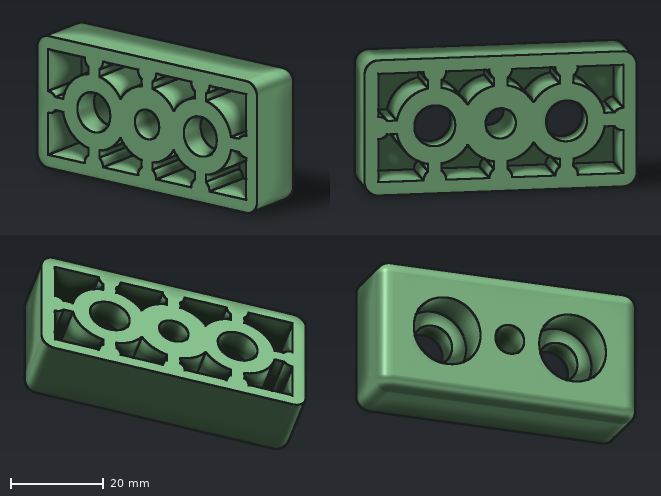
import cadquery as cq

length = 60.0
depth = 15.0
height = 30.0
edge_radius = 3.0
wall = 3.0
floor_thickness = 3.0

boss_spacing = 14.5
boss_diameter = 17.05
outer_bore_diameter = 9.0
middle_bore_diameter = 6.65
counterbore_diameter = 15.5
counterbore_depth = 9.0

rib_thickness = 3.0
pad_diameter = 5.0

pocket_depth = depth - floor_thickness
pocket_length = length - 2 * wall
pocket_height = height - 2 * wall
boss_centers = [(-boss_spacing, 0), (0, 0), (boss_spacing, 0)]
outer_centers = [boss_centers[0], boss_centers[-1]]


def front_prism(sketch, prism_depth):
    """Extrude an XZ sketch from the open face toward +Y."""
    return sketch.extrude(-prism_depth)


def make_block():
    block = front_prism(cq.Workplane("XZ").rect(length, height), depth)
    return block.edges("|Y").fillet(edge_radius).faces(">Y").edges().fillet(edge_radius)


def cylinders(centers, diameter, cylinder_depth):
    return front_prism(cq.Workplane("XZ").pushPoints(centers).circle(diameter / 2), cylinder_depth)


def make_ribs():
    ribs = front_prism(
        cq.Workplane("XZ").pushPoints(boss_centers).rect(rib_thickness, pocket_height),
        pocket_depth,
    )
    side_rib = front_prism(cq.Workplane("XZ").rect(pocket_length, rib_thickness), pocket_depth)
    return ribs.union(side_rib)


def make_pads():
    """Round pads centred on the inner wall faces at the rib ends."""
    centers = [(x, side * pocket_height / 2) for x, _ in boss_centers for side in (-1, 1)]
    centers += [(side * pocket_length / 2, 0) for side in (-1, 1)]
    return cylinders(centers, pad_diameter, pocket_depth)


def make_pockets():
    pockets = front_prism(cq.Workplane("XZ").rect(pocket_length, pocket_height), pocket_depth)
    for center in boss_centers:
        pockets = pockets.cut(cylinders([center], boss_diameter, pocket_depth))
    return pockets.cut(make_ribs()).cut(make_pads())


def make_counterbores():
    """Wide recesses sunk into the back face around the outer bores."""
    back = cq.Workplane("XZ", origin=(0, depth, 0)).pushPoints(outer_centers)
    return back.circle(counterbore_diameter / 2).extrude(counterbore_depth)


result = (
    make_block()
    .cut(make_pockets())
    .cut(cylinders(outer_centers, outer_bore_diameter, depth))
    .cut(cylinders([(0, 0)], middle_bore_diameter, depth))
    .cut(make_counterbores())
)